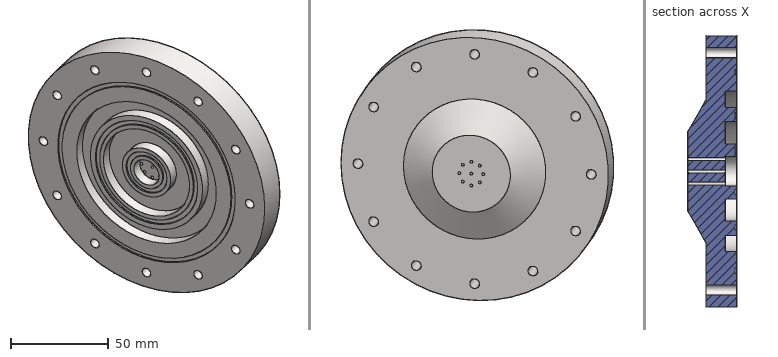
import cadquery as cq

flange_radius = 69.8
flange_thickness = 15.9
total_depth = 25.4

cone_base_radius = 37.2
cone_top_radius = 20.4

recess_depth = 6.0
outer_recess_radii = (33.1, 41.2)
inner_recess_radii = (14.2, 25.4)
bore_radius = 7.4

groove_width = 2.5
groove_depth = 1.0
groove_inner_radii = (9.5, 27.7, 49.9)

bolt_count = 12
bolt_circle_radius = 60.9
bolt_hole_diameter = 5.0

port_count = 8
port_circle_radius = 6.3
port_diameter = 1.4


def face_plane():
    """Workplane on the sealing face whose normal points into the part (+Y)."""
    return cq.Workplane("XZ").transformed(rotate=(180, 0, 0))


def ring(inner_radius, outer_radius, depth):
    """Annular cutter sunk into the sealing face."""
    return face_plane().circle(outer_radius).circle(inner_radius).extrude(depth)


def hole_circle(radius, diameter, count):
    """Cutters for a circle of holes running through the whole part."""
    return (
        face_plane()
        .polarArray(radius, 0, 360, count)
        .circle(diameter / 2)
        .extrude(total_depth)
    )


body = (
    cq.Workplane("XY")
    .polyline([
        (0, 0),
        (flange_radius, 0),
        (flange_radius, flange_thickness),
        (cone_base_radius, flange_thickness),
        (cone_top_radius, total_depth),
        (0, total_depth),
    ])
    .close()
    .revolve(360, (0, 0, 0), (0, 1, 0))
)

for inner_radius, outer_radius in (inner_recess_radii, outer_recess_radii):
    body = body.cut(ring(inner_radius, outer_radius, recess_depth))
body = body.cut(face_plane().circle(bore_radius).extrude(recess_depth))

for inner_radius in groove_inner_radii:
    body = body.cut(ring(inner_radius, inner_radius + groove_width, groove_depth))

body = body.cut(hole_circle(bolt_circle_radius, bolt_hole_diameter, bolt_count))
body = body.cut(hole_circle(port_circle_radius, port_diameter, port_count))
body = body.cut(face_plane().circle(port_diameter / 2).extrude(total_depth))

result = body